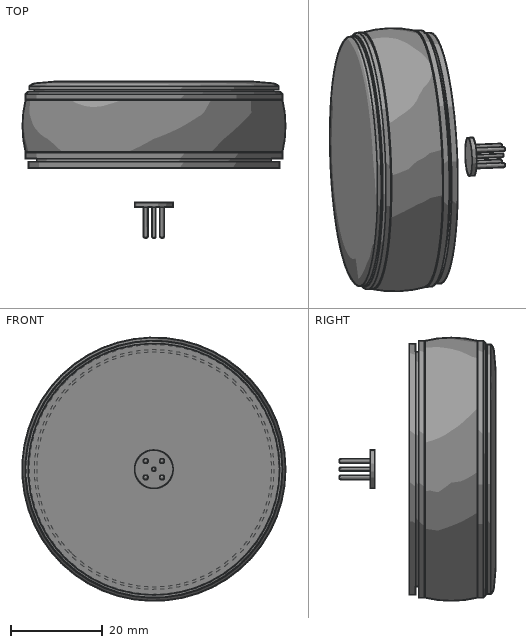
import cadquery as cq


flange_radius = 27.5
flange_back = 1.4
front_neck_radius = 25.75
barrel_front = 2.1
band_radius = 28.15
bulge_front = 3.5
bulge_back = 14.9
groove_width = 0.2
groove_depth = 0.1
bulge_radius = 28.85
barrel_back = 16.75
barrel_chamfer = 0.6
rear_neck_radius = 26.25
cap_front = 17.1
cap_radius = 27.35
cap_rim_back = 17.9
cap_shoulder_radius = 25.9
cap_shoulder_back = 18.6
cap_shoulder_arc = 2.3
cap_flat_radius = 21.35
cap_back = 19.0

plate_radius = 4.2
plate_back = -7.5
plate_thickness = 1.05
pin_tip = -15.35
corner_pin_radius = 0.5
corner_pin_offset = 1.8
centre_pin_radius = 0.43


def revolve_about_y(profile):
    """Turn a closed half profile (X = radius) once around the Y axis."""
    return profile.close().revolve(360, (0, 0, 0), (0, 1, 0))


def make_puck():
    groove_radius = band_radius - groove_depth
    bulge_middle = (bulge_front + bulge_back) / 2
    profile = (
        cq.Workplane("XY")
        .lineTo(flange_radius, 0)
        .lineTo(flange_radius, flange_back)
        .lineTo(front_neck_radius, flange_back)
        .lineTo(front_neck_radius, barrel_front)
        .lineTo(band_radius, barrel_front)
        .lineTo(band_radius, bulge_front - groove_width)
        .lineTo(groove_radius, bulge_front - groove_width)
        .lineTo(groove_radius, bulge_front)
        .lineTo(band_radius, bulge_front)
        .threePointArc((bulge_radius, bulge_middle), (band_radius, bulge_back))
        .lineTo(groove_radius, bulge_back)
        .lineTo(groove_radius, bulge_back + groove_width)
        .lineTo(band_radius, bulge_back + groove_width)
        .lineTo(band_radius, barrel_back - barrel_chamfer)
        .lineTo(band_radius - barrel_chamfer, barrel_back)
        .lineTo(rear_neck_radius, barrel_back)
        .lineTo(rear_neck_radius, cap_front)
        .lineTo(cap_radius, cap_front)
        .lineTo(cap_radius, cap_rim_back)
        .radiusArc((cap_shoulder_radius, cap_shoulder_back), -cap_shoulder_arc)
        .lineTo(cap_flat_radius, cap_back)
        .lineTo(0, cap_back)
    )
    return revolve_about_y(profile)


def make_pin(radius, x, z):
    """Pin with a hemispherical end, reaching from the back of the plate to the tip."""
    profile = (
        cq.Workplane("XY")
        .moveTo(0, plate_back)
        .lineTo(radius, plate_back)
        .lineTo(radius, pin_tip + radius)
        .radiusArc((0, pin_tip), radius)
    )
    return revolve_about_y(profile).translate((x, 0, z))


def make_connector():
    plate = cq.Workplane("XZ", origin=(0, plate_back, 0)).circle(plate_radius).extrude(plate_thickness)
    connector = plate.union(make_pin(centre_pin_radius, 0, 0))
    for x in (-corner_pin_offset, corner_pin_offset):
        for z in (-corner_pin_offset, corner_pin_offset):
            connector = connector.union(make_pin(corner_pin_radius, x, z))
    return connector


puck = make_puck()
connector = make_connector()
result = cq.Compound.makeCompound([puck.val(), connector.val()])